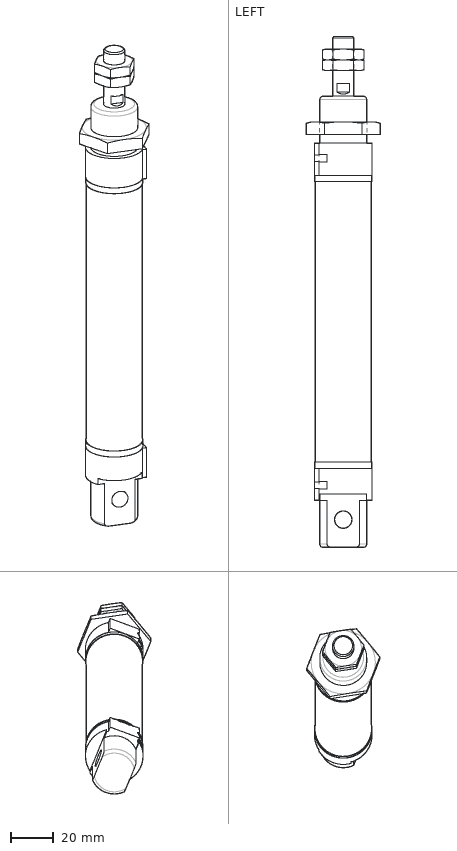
import cadquery as cq
import math

total_length = 239.0
neck_diameter = 22.0
neck_length = 22.0
neck_edge_radius = 1.5
cap_diameter = 27.0
cap_length = 15.0
band_diameter = 26.8
band_length = 3.0
tube_diameter = 26.4

eye_thickness = 16.0
eye_flat_height = 25.0
eye_hole_diameter = 8.0
eye_hole_height = 13.0

pad_half_width = 7.3
groove_width = 3.5
groove_axis_x = -8.2
groove_end_y = 7.6
groove_offset = 7.0

rod_diameter = 10.0
rod_minor_diameter = 8.65
rod_tip_length = 0.8
rod_projection = 28.0
rod_flat_width = 8.0
rod_flat_length = 4.0
rod_flat_drop = 22.0

rod_nut_width = 17.0
rod_nut_height = 5.0
rod_nut_count = 2
rod_nut_drop = 6.0
neck_nut_width = 30.0
neck_nut_height = 6.0
neck_nut_gap = 4.0
hexagon_sides = 6
nut_chamfer_angle = 16.0

neck_top = total_length - rod_projection
front_cap_top = neck_top - neck_length
front_cap_bottom = front_cap_top - cap_length
rear_cap_bottom = neck_length
rear_cap_top = rear_cap_bottom + cap_length


def disc(diameter, bottom, height):
    return cq.Workplane("XY").workplane(offset=bottom).circle(diameter / 2).extrude(height)


def make_cap(bottom, groove_height):
    pad = cq.Workplane("XY").box(
        2 * pad_half_width, cap_diameter / 2, cap_length, centered=(True, False, False)
    )
    cap = disc(cap_diameter, bottom, cap_length).union(pad.translate((0, 0, bottom)))

    groove_length = cap_diameter / 2 - groove_end_y
    groove_opening = cap_diameter / 2 + groove_axis_x
    round_bottom = cq.Workplane("XZ").circle(groove_width / 2).extrude(-groove_length)
    opening = cq.Workplane("XY").box(
        groove_opening, groove_length, groove_width, centered=(False, False, True)
    )
    groove = round_bottom.union(opening.translate((-groove_opening, 0, 0)))
    return cap.cut(groove.translate((groove_axis_x, groove_end_y, groove_height)))


def make_housing():
    tube_bottom = rear_cap_top + band_length
    tube_top = front_cap_bottom - band_length
    housing = disc(neck_diameter, 0, neck_length).faces("<Z").edges().fillet(neck_edge_radius)
    front_neck = disc(neck_diameter, front_cap_top, neck_length)
    housing = housing.union(front_neck.faces(">Z").edges().fillet(neck_edge_radius))
    housing = housing.union(make_cap(rear_cap_bottom, rear_cap_bottom + groove_offset))
    housing = housing.union(make_cap(front_cap_bottom, front_cap_top - groove_offset))
    housing = housing.union(disc(band_diameter, rear_cap_top, band_length))
    housing = housing.union(disc(band_diameter, tube_top, band_length))
    housing = housing.union(disc(tube_diameter, tube_bottom, tube_top - tube_bottom))

    flat_cut = cq.Workplane("XY").box(
        cap_diameter, 2 * cap_diameter, eye_flat_height, centered=(True, True, False)
    )
    flat_cut_offset = (eye_thickness + cap_diameter) / 2
    for side in (-1, 1):
        housing = housing.cut(flat_cut.translate((side * flat_cut_offset, 0, 0)))
    eye_hole = cq.Workplane("YZ").center(0, eye_hole_height).circle(eye_hole_diameter / 2)
    return housing.cut(eye_hole.extrude(cap_diameter, both=True))


def make_rod():
    tip_inset = (rod_diameter - rod_minor_diameter) / 2
    rod = disc(rod_diameter, neck_top, rod_projection).faces(">Z").chamfer(rod_tip_length, tip_inset)

    flat_top = total_length - rod_flat_drop
    flat_bottom = flat_top - rod_flat_length
    inner = rod_flat_width / 2
    outer = rod_diameter / 2
    runout = outer - inner
    outline = [(inner, flat_top), (outer, flat_top), (outer, flat_bottom - runout), (inner, flat_bottom)]
    flat_cut = cq.Workplane("XZ").polyline(outline).close().extrude(rod_diameter, both=True)
    return rod.cut(flat_cut).cut(flat_cut.mirror("YZ"))


def make_nut(width, height, bore, bottom, chamfered_faces):
    """Hexagon nut with flats facing +X and -X and corners chamfered on the given faces."""
    corner_diameter = 2 * width / math.sqrt(3)
    corner_inset = (corner_diameter - width) / 2
    corner_drop = corner_inset * math.tan(math.radians(nut_chamfer_angle))
    hexagon = cq.Workplane("XY").polygon(hexagon_sides, corner_diameter).extrude(height)
    hexagon = hexagon.rotate((0, 0, 0), (0, 0, 1), 180 / hexagon_sides)
    envelope = disc(corner_diameter, 0, height)
    for face in chamfered_faces:
        envelope = envelope.faces(face).chamfer(corner_drop, corner_inset)
    nut = hexagon.intersect(envelope).cut(disc(bore, 0, height))
    return nut.translate((0, 0, bottom))


housing = make_housing()
rod = make_rod()
neck_nut = make_nut(
    neck_nut_width, neck_nut_height, neck_diameter, front_cap_top + neck_nut_gap, [">Z"]
)
rod_nuts = []
for index in range(rod_nut_count):
    nut_bottom = total_length - rod_nut_drop - (index + 1) * rod_nut_height
    rod_nuts.append(make_nut(rod_nut_width, rod_nut_height, rod_diameter, nut_bottom, [">Z", "<Z"]))

result = cq.Compound.makeCompound(
    [housing.val(), rod.val(), neck_nut.val(), *[nut.val() for nut in rod_nuts]]
)